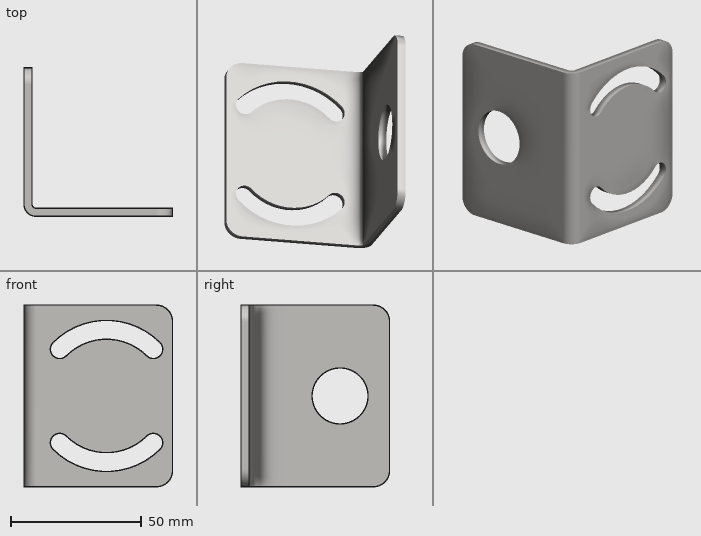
import cadquery as cq
import math

leg_length = 57.15
height = 69.85
thickness = 3.175
bend_inner_radius = 1.5
bend_outer_radius = bend_inner_radius + thickness
corner_radius = 6.35

hole_diameter = 21.4
hole_from_free_edge = 19.05

slot_centre_from_free_edge = 25.4
slot_path_radius = 25.4
slot_width = 7.14
slot_half_angle = 45.0

mid_height = height / 2


def make_bent_sheet():
    """L-shaped sheet, outer bend edge along Z at the origin."""
    profile = (
        cq.Workplane("XY")
        .polyline([
            (0, 0),
            (leg_length, 0),
            (leg_length, thickness),
            (thickness, thickness),
            (thickness, leg_length),
            (0, leg_length),
        ])
        .close()
        .extrude(height)
    )
    inner_bend_edge = cq.selectors.NearestToPointSelector((thickness, thickness, mid_height))
    outer_bend_edge = cq.selectors.NearestToPointSelector((0, 0, mid_height))
    sheet = profile.edges(inner_bend_edge).fillet(bend_inner_radius)
    return sheet.edges(outer_bend_edge).fillet(bend_outer_radius)


def round_free_corners(sheet):
    """Round the top and bottom corners at the free end of each leg."""
    sheet = sheet.faces(">X").edges("|Y").fillet(corner_radius)
    return sheet.faces(">Y").edges("|X").fillet(corner_radius)


def make_round_hole():
    return (
        cq.Workplane("YZ")
        .center(leg_length - hole_from_free_edge, mid_height)
        .circle(hole_diameter / 2)
        .extrude(thickness)
    )


def make_arc_slot(middle_angle):
    """Round-ended slot cutter centred on the given angle around the slot centre."""
    outer_radius = slot_path_radius + slot_width / 2
    inner_radius = slot_path_radius - slot_width / 2
    start_angle = middle_angle - slot_half_angle
    end_angle = middle_angle + slot_half_angle

    def polar(radius, angle):
        return (
            radius * math.cos(math.radians(angle)),
            radius * math.sin(math.radians(angle)),
        )

    def end_cap_middle(angle, direction):
        x, z = polar(slot_path_radius, angle)
        cap_x, cap_z = polar(slot_width / 2, angle + direction * 90)
        return (x + cap_x, z + cap_z)

    return (
        cq.Workplane("XZ")
        .center(leg_length - slot_centre_from_free_edge, mid_height)
        .moveTo(*polar(outer_radius, start_angle))
        .threePointArc(polar(outer_radius, middle_angle), polar(outer_radius, end_angle))
        .threePointArc(end_cap_middle(end_angle, 1), polar(inner_radius, end_angle))
        .threePointArc(polar(inner_radius, middle_angle), polar(inner_radius, start_angle))
        .threePointArc(end_cap_middle(start_angle, -1), polar(outer_radius, start_angle))
        .close()
        .extrude(-thickness)
    )


bracket = round_free_corners(make_bent_sheet()).cut(make_round_hole())
for slot_middle_angle in (90, 270):
    bracket = bracket.cut(make_arc_slot(slot_middle_angle))

result = bracket